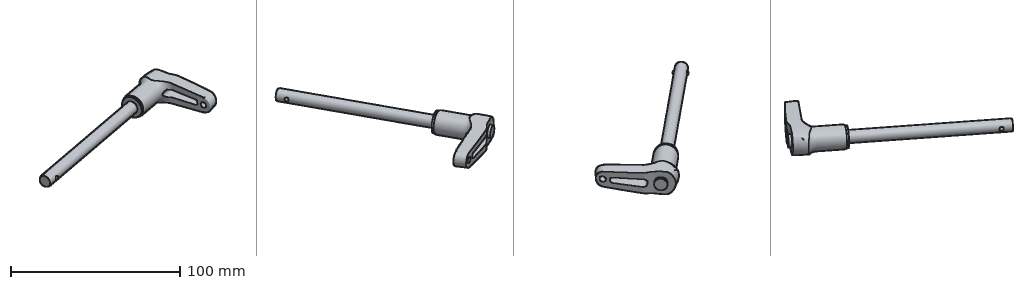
import cadquery as cq
import math

overall_length = 134.0
pin_radius = 4.0
tip_radius = 3.6
tip_taper_length = 2.1
tip_bulge = 0.1

ball_radius = 1.5
ball_position = 7.0
ball_reach = 4.8

collar_radius = 7.5
collar_start = 98.4
lip_radius = 6.8
lip_length = 1.3
shoulder_radius = 7.2
shoulder_length = 1.5
flare_radius = 6.3
handle_underside = 124.2

head_top = 132.1
head_radius = 7.9
head_center = -2.0
taper_start = 0.1
tip_start = 35.1
tip_half_width = 5.2

crest_x = 10.5
crest_y = 133.5
back_mid_x = 22.0
back_mid_y = 132.5
tip_top_x = 39.0
tip_top_y = 130.5
tip_bottom_x = 39.9
tip_bottom_y = 122.6
tip_edge_radius = 0.7

cone_top_radius = 8.7
cone_bottom_radius = 9.9
cone_bottom_y = 122.6

slot_wide_x = 10.6
slot_wide_radius = 2.7
slot_narrow_x = 28.5
slot_narrow_radius = 1.9
lanyard_hole_x = 34.7
lanyard_hole_radius = 1.9

margin = 1.3
stock_bottom = 113.9
stock_top = 136.7
stock_height = stock_top - stock_bottom


def plan(y):
    """XZ workplane at height y; its local Y is +Z and it extrudes toward -Y."""
    return cq.Workplane("XZ", origin=(0, y, 0))


def revolve_about_pin(profile):
    return profile.close().revolve(360, (0, 0, 0), (0, 1, 0))


def make_pin():
    tip_arc_mid = ((pin_radius + tip_radius) / 2 + tip_bulge, tip_taper_length / 3)
    profile = (
        cq.Workplane("XY")
        .lineTo(tip_radius, 0)
        .threePointArc(tip_arc_mid, (pin_radius, tip_taper_length))
        .lineTo(pin_radius, overall_length)
        .lineTo(0, overall_length)
    )
    return revolve_about_pin(profile)


def make_balls():
    center = ball_reach - ball_radius
    ball = cq.Workplane("XY").sphere(ball_radius)
    right_ball = ball.translate((center, ball_position, 0))
    return right_ball.union(ball.translate((-center, ball_position, 0)))


def make_collar():
    lip_end = collar_start + lip_length
    profile = (
        cq.Workplane("XY")
        .moveTo(0, collar_start)
        .lineTo(lip_radius, collar_start)
        .lineTo(lip_radius, lip_end)
        .lineTo(shoulder_radius, lip_end)
        .lineTo(collar_radius, lip_end + shoulder_length)
        .lineTo(collar_radius, handle_underside)
        .lineTo(0, handle_underside)
    )
    return revolve_about_pin(profile)


def make_flare():
    """Quarter-round fillet between the collar and the underside of the handle."""
    outer_radius = collar_radius + flare_radius
    flare_start = handle_underside - flare_radius
    arc_mid = (
        outer_radius - flare_radius * math.cos(math.pi / 4),
        flare_start + flare_radius * math.sin(math.pi / 4),
    )
    profile = (
        cq.Workplane("XY")
        .moveTo(0, flare_start)
        .lineTo(collar_radius, flare_start)
        .threePointArc(arc_mid, (outer_radius, handle_underside))
        .lineTo(0, handle_underside)
    )
    return revolve_about_pin(profile)


def make_side_profile():
    """Handle outline in XY, extruded across the full width."""
    return (
        cq.Workplane("XY")
        .moveTo(head_center - head_radius - margin, handle_underside)
        .lineTo(head_center - head_radius - margin, head_top)
        .lineTo(pin_radius, head_top)
        .spline([(crest_x, crest_y)], tangents=[(1, 0), (1, 0)], includeCurrent=True)
        .threePointArc((back_mid_x, back_mid_y), (tip_top_x, tip_top_y))
        .lineTo(tip_bottom_x, tip_bottom_y)
        .lineTo(crest_x, handle_underside)
        .close()
        .extrude(head_radius + margin, both=True)
    )


def make_tip_stock():
    """Round tip whose nose leans outward toward the underside."""
    lean = (tip_bottom_x - tip_top_x) / (tip_top_y - tip_bottom_y)

    def section(y):
        nose_x = tip_bottom_x + lean * (tip_bottom_y - y)
        nose = cq.Edge.makeThreePointArc(
            cq.Vector(tip_start, y, -tip_half_width),
            cq.Vector(nose_x, y, 0),
            cq.Vector(tip_start, y, tip_half_width),
        )
        root = cq.Edge.makeLine(nose.endPoint(), nose.startPoint())
        return cq.Wire.assembleEdges([nose, root])

    return cq.Workplane(cq.Solid.makeLoft([section(stock_bottom), section(stock_top)], True))


def make_plan_stock():
    """Handle outline in XZ, extruded along the pin."""
    body = (
        plan(stock_top)
        .moveTo(head_center, head_radius)
        .lineTo(taper_start, head_radius)
        .lineTo(tip_start, tip_half_width)
        .lineTo(tip_start, -tip_half_width)
        .lineTo(taper_start, -head_radius)
        .lineTo(head_center, -head_radius)
        .threePointArc((head_center - head_radius, 0), (head_center, head_radius))
        .close()
        .extrude(stock_height)
    )
    return body.union(make_tip_stock())


def make_head_limit():
    """Cone bounding the back of the head, joined to a block that leaves the handle free."""
    slope = (cone_bottom_radius - cone_top_radius) / (head_top - cone_bottom_y)
    bottom_radius = cone_bottom_radius + slope * (cone_bottom_y - stock_bottom)
    top_radius = cone_top_radius - slope * (stock_top - head_top)
    cone = revolve_about_pin(
        cq.Workplane("XY")
        .moveTo(0, stock_bottom)
        .lineTo(bottom_radius, stock_bottom)
        .lineTo(top_radius, stock_top)
        .lineTo(0, stock_top)
    )
    block = cq.Workplane("XY").box(
        tip_bottom_x + margin, stock_height, 3 * head_radius, centered=(False, False, True)
    )
    return cone.union(block.translate((0, stock_bottom, 0)))


def make_openings():
    """Tapered slot and lanyard hole, both passing through along Y."""
    spread = slot_narrow_x - slot_wide_x
    tangent_angle = math.acos((slot_wide_radius - slot_narrow_radius) / spread)

    def tangent_point(center_x, radius):
        return center_x + radius * math.cos(tangent_angle), radius * math.sin(tangent_angle)

    wide_x, wide_z = tangent_point(slot_wide_x, slot_wide_radius)
    narrow_x, narrow_z = tangent_point(slot_narrow_x, slot_narrow_radius)
    slot = (
        plan(stock_top)
        .moveTo(wide_x, wide_z)
        .lineTo(narrow_x, narrow_z)
        .threePointArc((slot_narrow_x + slot_narrow_radius, 0), (narrow_x, -narrow_z))
        .lineTo(wide_x, -wide_z)
        .threePointArc((slot_wide_x - slot_wide_radius, 0), (wide_x, wide_z))
        .close()
        .extrude(stock_height)
    )
    hole = plan(stock_top).center(lanyard_hole_x, 0).circle(lanyard_hole_radius).extrude(stock_height)
    return slot.union(hole)


def make_handle():
    nose_edge = cq.selectors.BoxSelector(
        (tip_start + margin, tip_bottom_y - margin, -tip_half_width),
        (tip_bottom_x + margin, tip_bottom_y + margin, tip_half_width),
    )
    handle = make_side_profile().union(make_flare())
    handle = handle.intersect(make_plan_stock()).intersect(make_head_limit())
    handle = handle.edges(nose_edge).fillet(tip_edge_radius)
    return handle.cut(make_openings())


result = make_handle().union(make_collar()).union(make_pin()).union(make_balls())